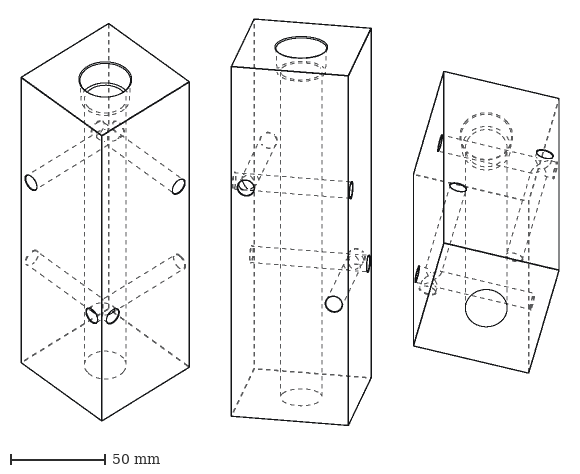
import cadquery as cq

block_side = 63.5
block_height = 203.2
edge_chamfer = 0.2

bore_diameter = 22.1
socket_mouth_diameter = 28.0
socket_chamfer = 0.6
socket_floor_diameter = 25.8
socket_depth = 14.0

cross_hole_diameter = 8.7
cross_hole_chamfer = 0.3
cross_hole_edge_distance = 8.0
cross_hole_end_distance = 70.0

cross_hole_offset = block_side / 2 - cross_hole_edge_distance
upper_hole_z = block_height - cross_hole_end_distance
lower_hole_z = cross_hole_end_distance


def stepped_bore():
    """Solid of revolution filling the through bore and its tapered, chamfered socket."""
    bore_radius = bore_diameter / 2
    mouth_radius = socket_mouth_diameter / 2
    floor_z = block_height - socket_depth
    return (
        cq.Workplane("XZ")
        .lineTo(bore_radius, 0)
        .lineTo(bore_radius, floor_z)
        .lineTo(socket_floor_diameter / 2, floor_z)
        .lineTo(mouth_radius - socket_chamfer, block_height - socket_chamfer)
        .lineTo(mouth_radius, block_height)
        .lineTo(0, block_height)
        .close()
        .revolve(360, (0, 0), (0, 1))
    )


def cross_hole(plane, offset, z):
    """Solid filling one through hole normal to a side plane, flared by a chamfer at both ends."""
    half_length = block_side / 2
    hole_radius = cross_hole_diameter / 2
    half_hole = (
        cq.Workplane(plane)
        .center(offset, z)
        .circle(hole_radius)
        .extrude(half_length)
    )
    flare = (
        cq.Workplane(plane)
        .workplane(offset=half_length - cross_hole_chamfer)
        .center(offset, z)
        .circle(hole_radius)
        .workplane(offset=cross_hole_chamfer)
        .circle(hole_radius + cross_hole_chamfer)
        .loft()
    )
    near_half = half_hole.union(flare)
    return near_half.union(near_half.mirror(plane))


result = (
    cq.Workplane("XY")
    .box(block_side, block_side, block_height, centered=(True, True, False))
    .edges()
    .chamfer(edge_chamfer)
    .cut(stepped_bore())
)
for hole_plane, upper_offset in (("XZ", -cross_hole_offset), ("YZ", cross_hole_offset)):
    result = result.cut(cross_hole(hole_plane, upper_offset, upper_hole_z))
    result = result.cut(cross_hole(hole_plane, -upper_offset, lower_hole_z))